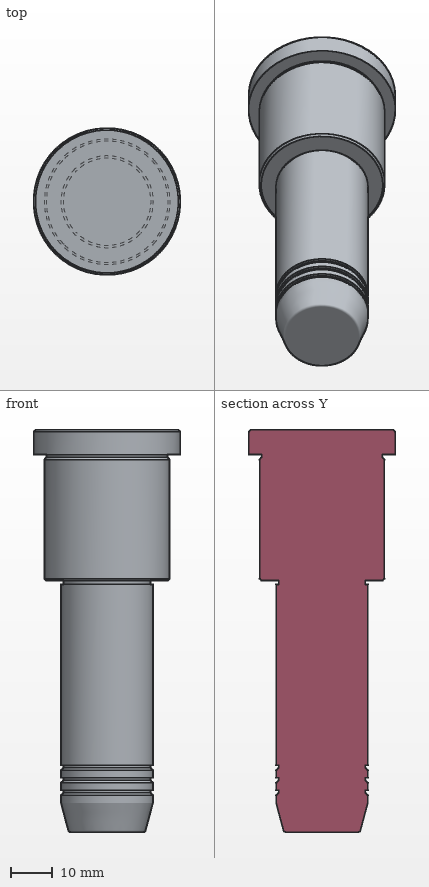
import cadquery as cq
import math

total_length = 96.0
head_diameter = 35.0
head_height = 6.0
head_chamfer = 0.5
collar_diameter = 30.0
collar_bottom = 60.0
collar_chamfer = 0.5
pin_diameter = 22.0

relief_depth = 0.5
relief_floor = 0.6
relief_runout = 0.6

neck_depth = 0.6
neck_height = 0.9

groove_count = 3
groove_pitch = 3.0
groove_top = 15.9
groove_depth = 0.6

taper_height = 7.0
taper_angle = 15.0
tip_fillet = 0.6

head_radius = head_diameter / 2
collar_radius = collar_diameter / 2
pin_radius = pin_diameter / 2
head_bottom = total_length - head_height
tip_radius = pin_radius - taper_height * math.tan(math.radians(taper_angle))


def cylinder(radius, bottom, top):
    return cq.Workplane("XY").workplane(offset=bottom).circle(radius).extrude(top - bottom)


def relief_ring(radius, depth, top):
    """Ring to cut: square shoulder at the top, flat floor, slope back out to the radius."""
    floor_bottom = top - relief_floor
    profile = [
        (radius, top),
        (radius - depth, top),
        (radius - depth, floor_bottom),
        (radius, floor_bottom - relief_runout),
    ]
    return cq.Workplane("XZ").polyline(profile).close().revolve(360, (0, 0), (0, 1))


head = cylinder(head_radius, head_bottom, total_length).faces(">Z").chamfer(head_chamfer)

collar = cylinder(collar_radius, collar_bottom, head_bottom).faces("<Z").chamfer(collar_chamfer)
collar = collar.cut(relief_ring(collar_radius, relief_depth, head_bottom))

neck_bottom = collar_bottom - neck_height
neck = cylinder(pin_radius - neck_depth, neck_bottom, collar_bottom)
pin = cylinder(pin_radius, taper_height, neck_bottom)
for index in range(groove_count):
    pin = pin.cut(relief_ring(pin_radius, groove_depth, groove_top - index * groove_pitch))

tip_profile = [(0, 0), (tip_radius, 0), (pin_radius, taper_height), (0, taper_height)]
tip = cq.Workplane("XZ").polyline(tip_profile).close().revolve(360, (0, 0), (0, 1))
tip = tip.faces("<Z").edges().fillet(tip_fillet)

result = head.union(collar).union(neck).union(pin).union(tip)